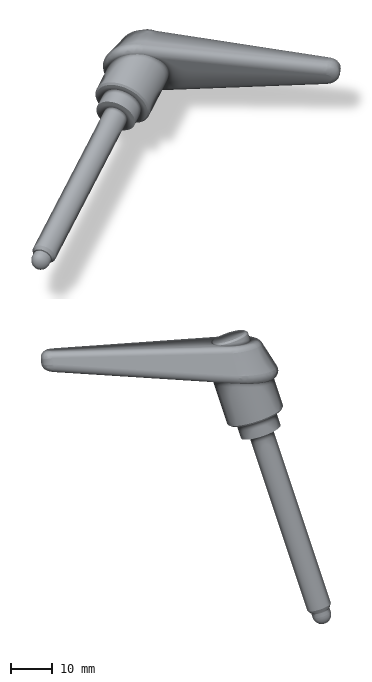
import cadquery as cq
import math


top_angle = 15.0
bottom_angle = 20.0
top_height = 19.55
bottom_height = 10.2
head_radius = 8.7
draft_angle = 14.0
side_angle = 1.4
tip_center = 41.8
top_edge_radius = 1.7
bottom_edge_radius = 1.9
stock_margin = 8.5

hub_radius = 7.05
hub_chamfer = 0.4
hub_top = bottom_height + hub_radius * math.tan(math.radians(bottom_angle))

button_radius = 4.6
button_top = 20.7
button_chamfer = 0.4
collar_radius = 5.0
collar_length = 4.0
shaft_radius = 3.0
shaft_bottom = -50.4
shaft_chamfer = 0.8
shaft_chamfer_width = 0.5
neck_radius = 2.0
neck_length = 0.3
nose_radius = 2.3
nose_bottom = -54.0


def height_on_slope(height_at_axis, angle, x):
    return height_at_axis + x * math.tan(math.radians(angle))


def make_drafted_stock():
    """Tongue with two round ends that narrows upwards with the draft angle."""
    base = bottom_height - stock_margin
    stock_height = height_on_slope(top_height, top_angle, tip_center) + stock_margin - base
    slope = math.radians(side_angle)
    head_base_radius = head_radius + stock_margin * math.tan(math.radians(draft_angle))
    tip_base_radius = head_base_radius - tip_center * math.sin(slope)
    head_x = head_base_radius * math.sin(slope)
    head_z = head_base_radius * math.cos(slope)
    tip_x = tip_center + tip_base_radius * math.sin(slope)
    tip_z = tip_base_radius * math.cos(slope)
    return (
        cq.Workplane("ZX", origin=(0, base, 0))
        .moveTo(tip_z, tip_x)
        .lineTo(head_z, head_x)
        .threePointArc((0, -head_base_radius), (-head_z, head_x))
        .lineTo(-tip_z, tip_x)
        .threePointArc((0, tip_center + tip_base_radius), (tip_z, tip_x))
        .close()
        .extrude(stock_height, taper=draft_angle)
    )


def face_leaning(angle, side):
    """Selector of the outermost face at this slope; side is +1 for upper, -1 for lower."""
    lean = math.radians(angle)
    normal = cq.Vector(-math.sin(lean), math.cos(lean), 0) * side
    return cq.selectors.DirectionMinMaxSelector(normal, True)


def make_arm():
    """Drafted stock trimmed to the two sloping faces, with rounded rims."""
    back_x = -head_radius - stock_margin
    front_x = tip_center + head_radius + stock_margin
    profile = (
        cq.Workplane("XY")
        .polyline([
            (back_x, height_on_slope(bottom_height, bottom_angle, back_x)),
            (front_x, height_on_slope(bottom_height, bottom_angle, front_x)),
            (front_x, height_on_slope(top_height, top_angle, front_x)),
            (back_x, height_on_slope(top_height, top_angle, back_x)),
        ])
        .close()
        .extrude(2 * head_radius, both=True)
    )
    arm = make_drafted_stock().intersect(profile)
    arm = arm.faces(face_leaning(top_angle, 1)).edges().fillet(top_edge_radius)
    return arm.faces(face_leaning(bottom_angle, -1)).edges().fillet(bottom_edge_radius)


def make_hub():
    return (
        cq.Workplane("ZX")
        .circle(hub_radius)
        .extrude(hub_top)
        .faces("<Y")
        .chamfer(hub_chamfer)
    )


def make_lever():
    bore = cq.Workplane("ZX").circle(button_radius).extrude(button_top)
    return make_arm().union(make_hub()).cut(bore)


def make_stud():
    """Button, collar, shaft and rounded nose turned about Y."""
    nose_center = nose_bottom + nose_radius
    arc_reach = nose_radius * math.sqrt(0.5)
    return (
        cq.Workplane("XY")
        .moveTo(0, button_top)
        .lineTo(button_radius - button_chamfer, button_top)
        .lineTo(button_radius, button_top - button_chamfer)
        .lineTo(button_radius, 0)
        .lineTo(collar_radius, 0)
        .lineTo(collar_radius, -collar_length)
        .lineTo(shaft_radius, -collar_length)
        .lineTo(shaft_radius, shaft_bottom + shaft_chamfer)
        .lineTo(shaft_radius - shaft_chamfer_width, shaft_bottom)
        .lineTo(neck_radius, shaft_bottom)
        .lineTo(neck_radius, shaft_bottom - neck_length)
        .lineTo(nose_radius, shaft_bottom - neck_length)
        .lineTo(nose_radius, nose_center)
        .threePointArc((arc_reach, nose_center - arc_reach), (0, nose_bottom))
        .close()
        .revolve(360, (0, 0), (0, 1))
    )


lever = make_lever()
stud = make_stud()
result = cq.Compound.makeCompound([lever.val(), stud.val()])